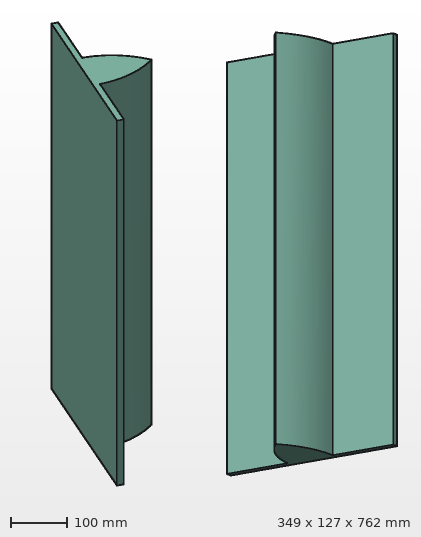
import cadquery as cq
import math

height = 762.0
plate_width = 349.0
plate_thickness = 13.0
total_depth = 127.0
fin_width = 95.0
flank_bulge = 11.5

plate = cq.Workplane("XY").box(
    plate_width, plate_thickness, height, centered=(True, False, True)
)

fin_depth = total_depth - plate_thickness
half_width = fin_width / 2
flank_length = math.hypot(half_width, fin_depth)
mid_x = half_width / 2 + flank_bulge * fin_depth / flank_length
mid_y = plate_thickness + fin_depth / 2 + flank_bulge * half_width / flank_length

fin = (
    cq.Workplane("XY")
    .workplane(offset=-height / 2)
    .moveTo(-half_width, plate_thickness)
    .lineTo(half_width, plate_thickness)
    .threePointArc((mid_x, mid_y), (0, total_depth))
    .threePointArc((-mid_x, mid_y), (-half_width, plate_thickness))
    .close()
    .extrude(height)
)

result = plate.union(fin)